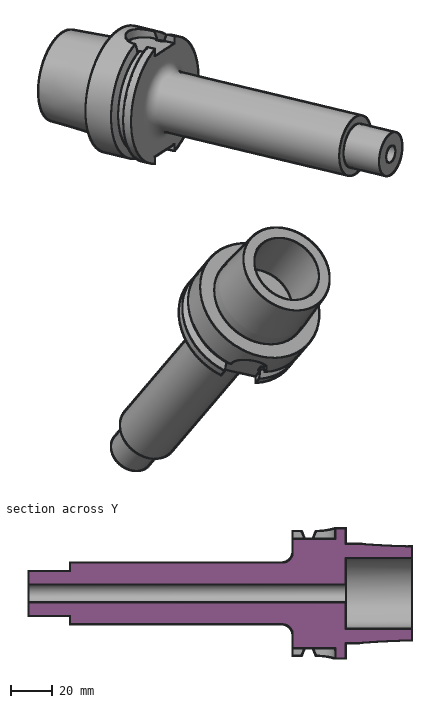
import cadquery as cq

total_length = 185.3
taper_end = 26.0
flange_start = 32.0
groove_rim_start = 46.5
groove_floor_start = 48.2
groove_floor_end = 51.7
groove_rim_end = 53.4
flange_end = 57.8
tip_length = 20.0
tip_start = total_length - tip_length

taper_small_radius = 22.8
taper_large_radius = 24.0
flange_radius = 31.5
groove_radius = 27.6
shank_radius = 15.0
shank_fillet = 5.0
tip_radius = 11.0
socket_radius = 17.0
coolant_radius = 4.3

socket_depth = flange_start

slot_width = 18.0
slot_floor_height = 26.5
slot_radius = slot_width / 2
slot_round_center = 46.1


def turned_body():
    """Taper, grooved flange, shank and tip, revolved about the X axis."""
    fillet_mid_offset = shank_fillet * (1 - 0.5 ** 0.5)
    profile = (
        cq.Workplane("XY")
        .moveTo(0, 0)
        .lineTo(0, taper_small_radius)
        .lineTo(taper_end, taper_large_radius)
        .lineTo(flange_start, taper_large_radius)
        .lineTo(flange_start, flange_radius)
        .lineTo(groove_rim_start, flange_radius)
        .lineTo(groove_floor_start, groove_radius)
        .lineTo(groove_floor_end, groove_radius)
        .lineTo(groove_rim_end, flange_radius)
        .lineTo(flange_end, flange_radius)
        .lineTo(flange_end, shank_radius + shank_fillet)
        .threePointArc(
            (flange_end + fillet_mid_offset, shank_radius + fillet_mid_offset),
            (flange_end + shank_fillet, shank_radius),
        )
        .lineTo(tip_start, shank_radius)
        .lineTo(tip_start, tip_radius)
        .lineTo(total_length, tip_radius)
        .lineTo(total_length, 0)
        .close()
    )
    return profile.revolve(360, (0, 0, 0), (1, 0, 0))


def bore(radius, depth):
    """Cylinder along the X axis, starting at the open end of the taper."""
    return cq.Workplane("YZ").circle(radius).extrude(depth)


def drive_slot():
    """Flat-floored slot on the +Z side, round at one end and open at the back of the flange."""
    slot_depth = flange_radius - slot_floor_height
    return (
        cq.Workplane("XY", origin=(0, 0, slot_floor_height))
        .moveTo(flange_end, -slot_radius)
        .lineTo(slot_round_center, -slot_radius)
        .threePointArc((slot_round_center - slot_radius, 0), (slot_round_center, slot_radius))
        .lineTo(flange_end, slot_radius)
        .close()
        .extrude(slot_depth)
    )


result = turned_body()
result = result.cut(bore(socket_radius, socket_depth))
result = result.cut(bore(coolant_radius, total_length))
for slot_angle in (0, 180):
    result = result.cut(drive_slot().rotate((0, 0, 0), (1, 0, 0), slot_angle))